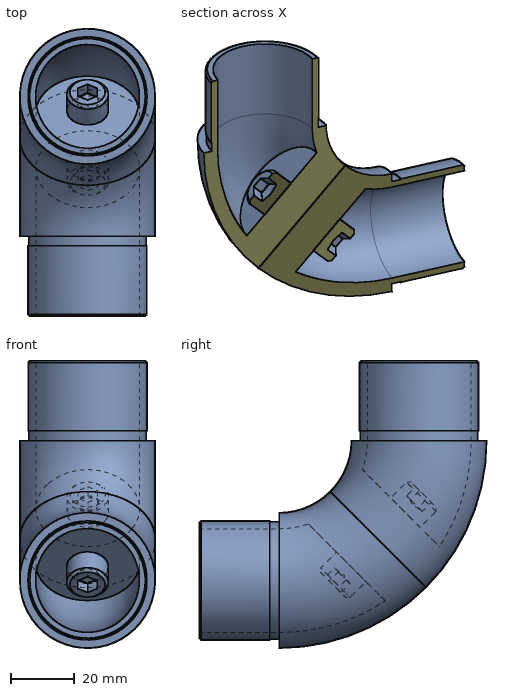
import cadquery as cq
import math

PIPE_DIAMETER = 42.4
OVERALL_LENGTH = 90.0
LEG_LENGTH = OVERALL_LENGTH - PIPE_DIAMETER / 2
SPIGOT_LENGTH = 25.0
BEND_RADIUS = LEG_LENGTH - SPIGOT_LENGTH
HALF_BEND_ANGLE = 45.0

BORE_DIAMETER = 32.5
SPIGOT_DIAMETER = 37.3
NECK_DIAMETER = 36.9
NECK_LENGTH = 3.0
TIP_CHAMFER = 0.6

WEB_THICKNESS = 12.0

HEAD_DIAMETER = 13.0
HEAD_HEIGHT = 8.0
HEAD_CHAMFER = 1.0
SOCKET_WIDTH = 6.0
SOCKET_DEPTH = 4.0
SOCKET_BOTTOM_SLOPE = 10.0

CENTRELINE_OFFSET = BEND_RADIUS * (1 - math.cos(math.radians(HALF_BEND_ANGLE)))
MITRE_POINT = cq.Vector(0, -CENTRELINE_OFFSET, CENTRELINE_OFFSET)
MITRE_NORMAL = cq.Vector(0, 1, 1).normalized()


def mitre_plane(offset):
    """Plane parallel to the mitre plane, moved into the upper half by the offset."""
    return cq.Plane(MITRE_POINT + MITRE_NORMAL * offset, xDir=(1, 0, 0), normal=MITRE_NORMAL)


def bend_sector(diameter):
    """Upper half of the bend as a solid bar, from the spigot shoulder down to the mitre plane."""
    return (
        cq.Workplane("XY", origin=(0, 0, BEND_RADIUS))
        .circle(diameter / 2)
        .revolve(HALF_BEND_ANGLE, (0, -BEND_RADIUS), (-1, -BEND_RADIUS))
    )


def spigot():
    """Solid spigot with an undercut neck at the shoulder and a chamfered tip."""
    shoulder_z = BEND_RADIUS
    profile = [
        (0, shoulder_z),
        (NECK_DIAMETER / 2, shoulder_z),
        (NECK_DIAMETER / 2, shoulder_z + NECK_LENGTH),
        (SPIGOT_DIAMETER / 2, shoulder_z + NECK_LENGTH),
        (SPIGOT_DIAMETER / 2, LEG_LENGTH - TIP_CHAMFER),
        (SPIGOT_DIAMETER / 2 - TIP_CHAMFER, LEG_LENGTH),
        (0, LEG_LENGTH),
    ]
    return cq.Workplane("XZ").polyline(profile).close().revolve(360, (0, 0), (0, 1))


def bore():
    """Bore from the spigot tip around the bend to the flat face of the web."""
    straight = cq.Workplane("XY", origin=(0, 0, BEND_RADIUS)).circle(BORE_DIAMETER / 2).extrude(SPIGOT_LENGTH)
    web = cq.Workplane(mitre_plane(0)).rect(2 * PIPE_DIAMETER, 2 * PIPE_DIAMETER).extrude(WEB_THICKNESS)
    return bend_sector(BORE_DIAMETER).cut(web).union(straight)


def elbow_half():
    """Upper half of the elbow: half the bend with its spigot, bored down to the web."""
    return bend_sector(PIPE_DIAMETER).union(spigot()).cut(bore())


def screw_head():
    """Chamfered round head with a drilled hexagon socket, seated on the web of the upper half."""
    socket_corners = SOCKET_WIDTH / math.cos(math.pi / 6)
    head = (
        cq.Workplane(mitre_plane(WEB_THICKNESS))
        .circle(HEAD_DIAMETER / 2)
        .extrude(HEAD_HEIGHT)
        .faces(cq.selectors.DirectionMinMaxSelector(MITRE_NORMAL))
        .chamfer(HEAD_CHAMFER)
    )
    socket = (
        cq.Workplane(mitre_plane(WEB_THICKNESS + HEAD_HEIGHT))
        .transformed(rotate=(0, 0, 90))
        .polygon(6, socket_corners)
        .extrude(-SOCKET_DEPTH)
    )
    cone_radius = socket_corners / 2
    cone = cq.Workplane(
        cq.Solid.makeCone(
            cone_radius,
            0,
            cone_radius * math.tan(math.radians(SOCKET_BOTTOM_SLOPE)),
            MITRE_POINT + MITRE_NORMAL * (WEB_THICKNESS + HEAD_HEIGHT - SOCKET_DEPTH),
            MITRE_NORMAL * -1,
        )
    )
    return head.cut(socket).cut(cone)


def turned_over(body):
    """Copy of an upper body turned half a turn about the mitre line onto the lower leg."""
    return body.rotate((0, 0, 0), (0, -1, 1), 180)


bodies = []
for upper_body in (elbow_half(), screw_head()):
    bodies.append(upper_body.val())
    bodies.append(turned_over(upper_body).val())

result = cq.Compound.makeCompound(bodies)